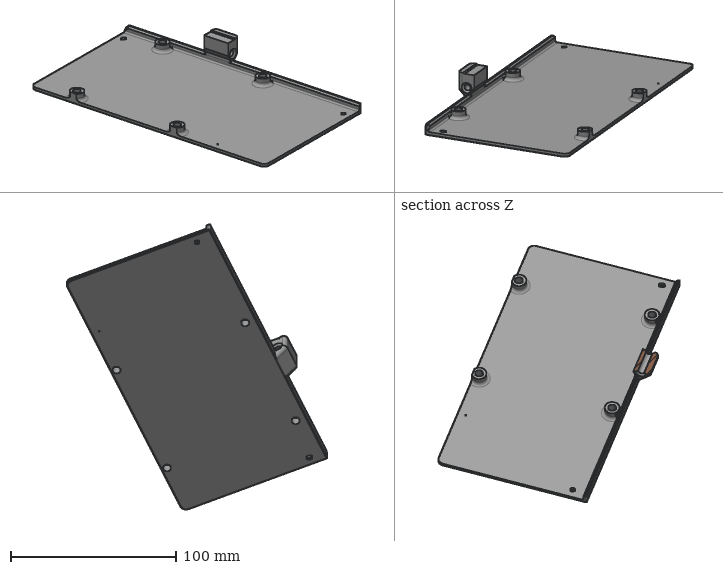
import cadquery as cq
import math

length = 179.0
total_depth = 103.0
tab_overhang = 7.3
plate_depth = total_depth - tab_overhang
plate_thickness = 2.3
front_corner_radius = 4.0
back_corner_radius = 0.9
bottom_chamfer = 0.5

rim_height = 6.6
rim_thickness = 2.1
rim_chamfer = 1.3
rim_root_radius = 1.0
rim_left_chamfer = 2.0
rim_right_chamfer = 0.7

boss_diameter = 9.0
boss_height = 7.2
boss_hole_diameter = 4.8
boss_root_radius = 2.1
boss_web_radius = 1.0
boss_left_x = -57.0
boss_spacing_x = 76.5
boss_front_y = 3.8
boss_spacing_y = 84.8

locating_hole_diameter = 2.9
locating_hole_x = 84.0
locating_hole_y = 84.8
locating_slot_x = -84.5
locating_slot_y = 85.7
locating_slot_length = 3.8

pin_hole_diameter = 0.5
pin_hole_x = 49.2
pin_hole_y = 5.2

tab_left_x = -27.7
tab_width = 18.3
tab_height = 19.5
tab_front_height = 19.0
tab_depth = 11.0
tab_back_bottom = 8.0
tab_lip_depth = 3.5
tab_lip_slope = 1.0
tab_corner_radius = 2.5
tab_undercut_top = 10.4
tab_undercut_bottom = 7.3
tab_undercut_setback = 0.2
tab_hole_diameter = 4.0
tab_countersink_diameter = 6.6
tab_hole_inset = 5.9
tab_hole_height = 10.0
tab_flare = 1.3
tab_flare_bottom = 5.7

back_y = total_depth
rim_front_y = plate_depth - rim_thickness
boss_centres = [
    (boss_left_x + i * boss_spacing_x, boss_front_y + j * boss_spacing_y)
    for i in range(2)
    for j in range(2)
]


def extrude_along_x(profile, start, distance):
    """Extrude a closed (Y, Z) outline along +X from the given start."""
    return profile.extrude(distance).translate((start, 0, 0))


def make_slab(height):
    """Plate outline with rounded corners, extruded up from Z = 0."""
    slab = cq.Workplane("XY").rect(length, plate_depth).extrude(height)
    slab = slab.translate((0, plate_depth / 2, 0))
    slab = slab.edges("|Z and <Y").fillet(front_corner_radius)
    return slab.edges("|Z and >Y").fillet(back_corner_radius)


def make_plate():
    return make_slab(plate_thickness).faces("<Z").edges().chamfer(bottom_chamfer)


def make_rim():
    root_top = plate_thickness + rim_root_radius
    profile = (
        cq.Workplane("YZ")
        .moveTo(plate_depth, bottom_chamfer)
        .lineTo(plate_depth, rim_height)
        .lineTo(rim_front_y + rim_chamfer, rim_height)
        .lineTo(rim_front_y, rim_height - rim_chamfer)
        .lineTo(rim_front_y, root_top)
        .radiusArc((rim_front_y - rim_root_radius, plate_thickness), rim_root_radius)
        .lineTo(rim_front_y - rim_root_radius, bottom_chamfer)
        .close()
    )
    rim = extrude_along_x(profile, -length / 2, length)
    left_corner = make_corner_cut(-length / 2, rim_left_chamfer)
    right_corner = make_corner_cut(length / 2, -rim_right_chamfer)
    rim = rim.cut(left_corner).cut(right_corner).cut(make_left_slope_chamfer())
    return rim.intersect(make_slab(rim_height))


def make_corner_cut(end_x, size):
    """Triangular prism along Y that slopes one top end corner of the rim."""
    return (
        cq.Workplane("XZ")
        .moveTo(end_x, rim_height)
        .lineTo(end_x, rim_height - abs(size))
        .lineTo(end_x + size, rim_height)
        .close()
        .extrude(-total_depth)
    )


def make_left_slope_chamfer():
    """Cutter that carries the front chamfer of the rim down its sloped left end."""
    slope_foot = (-length / 2, rim_front_y, rim_height - rim_left_chamfer)
    slope_length = math.hypot(rim_left_chamfer, rim_left_chamfer)
    across_slope = cq.Plane(origin=slope_foot, xDir=(0, 1, 0), normal=(1, 0, 1))
    return (
        cq.Workplane(across_slope)
        .polyline([(0, 0), (rim_chamfer, 0), (0, -rim_chamfer)])
        .close()
        .extrude(2 * slope_length, both=True)
    )


def make_boss():
    """Boss with a concave root, centred on the Z axis."""
    radius = boss_diameter / 2
    base_radius = radius + boss_root_radius
    profile = (
        cq.Workplane("XZ")
        .moveTo(0, bottom_chamfer)
        .lineTo(base_radius, bottom_chamfer)
        .lineTo(base_radius, plate_thickness)
        .radiusArc((radius, plate_thickness + boss_root_radius), boss_root_radius)
        .lineTo(radius, boss_height)
        .lineTo(0, boss_height)
        .close()
    )
    return profile.revolve(360, (0, 0, 0), (0, 1, 0))


def make_boss_web():
    """Web between a back boss and the rim, with its X measured from the boss centre."""
    radius = boss_diameter / 2
    boss_y = boss_front_y + boss_spacing_y
    arc_centre_offset_y = rim_front_y - boss_web_radius - boss_y
    arc_centre_x = math.sqrt((radius + boss_web_radius) ** 2 - arc_centre_offset_y**2)
    tangent_share = radius / (radius + boss_web_radius)
    boss_tangent_x = arc_centre_x * tangent_share
    boss_tangent_y = boss_y + arc_centre_offset_y * tangent_share
    return (
        cq.Workplane("XY", origin=(0, 0, plate_thickness))
        .moveTo(-boss_tangent_x, boss_tangent_y)
        .radiusArc((-arc_centre_x, rim_front_y), -boss_web_radius)
        .lineTo(arc_centre_x, rim_front_y)
        .radiusArc((boss_tangent_x, boss_tangent_y), -boss_web_radius)
        .close()
        .extrude(rim_height - rim_chamfer - plate_thickness)
    )


def tab_block(start, width):
    """Plain tab with sharp corners, starting at the given X."""
    profile = (
        cq.Workplane("YZ")
        .moveTo(plate_depth, bottom_chamfer)
        .lineTo(back_y, tab_back_bottom)
        .lineTo(back_y, tab_height)
        .lineTo(back_y - tab_lip_depth, tab_height)
        .lineTo(back_y - tab_lip_depth - tab_lip_slope, tab_front_height)
        .lineTo(back_y - tab_depth, tab_front_height)
        .lineTo(back_y - tab_depth, tab_undercut_top)
        .lineTo(rim_front_y + tab_undercut_setback, tab_undercut_bottom)
        .lineTo(rim_front_y, tab_flare_bottom)
        .lineTo(rim_front_y, bottom_chamfer)
        .close()
    )
    return extrude_along_x(profile, start, width)


def make_tab():
    underside = cq.Vector(0, tab_overhang, tab_back_bottom - bottom_chamfer)
    tab = tab_block(tab_left_x, tab_width)
    sloped_edges = tab.edges(cq.selectors.ParallelDirSelector(underside))
    tab = tab.edges("|Z and >Y").add(sloped_edges).fillet(tab_corner_radius)
    return tab.union(make_tab_flare())


def make_tab_flare():
    """Wedge that widens the foot of the tab where it stands on the rim."""
    left_x = tab_left_x
    right_x = tab_left_x + tab_width
    wedge = (
        cq.Workplane("XZ", origin=(0, rim_front_y, 0))
        .moveTo(left_x, tab_undercut_bottom)
        .lineTo(right_x, tab_undercut_bottom)
        .lineTo(right_x + tab_flare, tab_flare_bottom)
        .lineTo(left_x - tab_flare, tab_flare_bottom)
        .close()
        .extrude(-rim_thickness)
    )
    return wedge.intersect(tab_block(left_x - tab_flare, tab_width + 2 * tab_flare))


def make_tab_hole():
    """Through hole along X with a 45 degree countersink at both ends."""
    centre = (0, back_y - tab_hole_inset, tab_hole_height)
    hole_radius = tab_hole_diameter / 2
    mouth_radius = tab_countersink_diameter / 2
    sink = mouth_radius - hole_radius
    right_x = tab_left_x + tab_width
    profile = (
        cq.Workplane("XY", origin=centre)
        .moveTo(tab_left_x, 0)
        .lineTo(tab_left_x, mouth_radius)
        .lineTo(tab_left_x + sink, hole_radius)
        .lineTo(right_x - sink, hole_radius)
        .lineTo(right_x, mouth_radius)
        .lineTo(right_x, 0)
        .close()
    )
    return profile.revolve(360, (0, 0, 0), (1, 0, 0))


def make_plate_holes():
    holes = cq.Workplane("XY").pushPoints(boss_centres).circle(boss_hole_diameter / 2).extrude(boss_height)
    locating_hole = (
        cq.Workplane("XY")
        .center(locating_hole_x, locating_hole_y)
        .circle(locating_hole_diameter / 2)
        .extrude(plate_thickness)
    )
    locating_slot = (
        cq.Workplane("XY")
        .center(locating_slot_x, locating_slot_y)
        .slot2D(locating_slot_length, locating_hole_diameter, 90)
        .extrude(plate_thickness)
    )
    pin_hole = (
        cq.Workplane("XY")
        .center(pin_hole_x, pin_hole_y)
        .circle(pin_hole_diameter / 2)
        .extrude(plate_thickness)
    )
    return holes.union(locating_hole).union(locating_slot).union(pin_hole)


bosses = cq.Workplane("XY")
for x, y in boss_centres:
    bosses = bosses.add(make_boss().translate((x, y, 0)))
front_trim = cq.Workplane("XY").box(length, plate_depth, tab_height, centered=(True, False, False))
bosses = bosses.combine().intersect(front_trim)
for i in range(2):
    bosses = bosses.union(make_boss_web().translate((boss_left_x + i * boss_spacing_x, 0, 0)))

result = make_plate().union(make_rim()).union(bosses).union(make_tab())
result = result.cut(make_tab_hole()).cut(make_plate_holes())